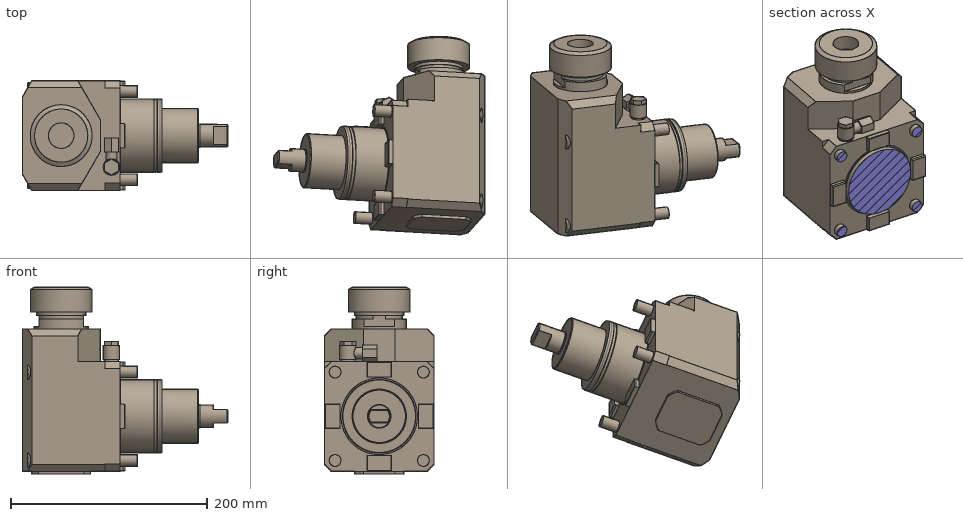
import cadquery as cq
import math


HOUSING_LENGTH = 99.5
HALF_WIDTH = 56.0
HOUSING_TOP = 89.0
EDGE_CHAMFER = 7.0
SLANT_SLOPE = math.tan(math.radians(60))
BACK_FACE_HALF_WIDTH = 39.5
FRONT_FACE_X = -20.0
FRONT_FACE_HALF_WIDTH = 16.0
FLANGE_THICKNESS = 15.3
FLANGE_CHAMFER = 7.5

SPINDLE_X = -60.0
SPINDLE_COLLAR_RADIUS = 27.6
SPINDLE_COLLAR_TOP = 99.0
SPINDLE_NECK_RADIUS = 23.7
SPINDLE_FLAT_BOTTOM = 91.4
SPINDLE_FLAT_DISTANCE = 22.8
NUT_RIM_BOTTOM = 102.8
NUT_RIM_RADIUS = 25.1
NUT_BOTTOM = 106.0
NUT_TOP = 131.66
NUT_RADIUS = 31.5
NUT_CHAMFER_WIDTH = 4.4
NUT_CHAMFER_HEIGHT = 2.5
BORE_RADIUS = 13.0
BORE_DEPTH = 15.0

COVER_HEIGHT = 3.0
COVER_RADIUS = 34.0
COVER_LENGTH = 60.0
COVER_WIDTH = 50.0

SHOULDER_RADIUS = 39.0
SHOULDER_HEIGHT = 0.6
PILOT_RADIUS = 37.4
PILOT_END = 42.9
PILOT_CHAMFER_LENGTH = 2.2
PILOT_CHAMFER_DEPTH = 0.4
NECK_RADIUS = 27.7
NECK_END = 80.0
NECK_CHAMFER = 1.0
SHAFT_COLLAR_RADIUS = 12.0
SHAFT_COLLAR_LENGTH = 1.2
SHAFT_RADIUS = 11.6
SHAFT_END = 110.0
SHAFT_CHAMFER = 1.2
TANG_START = 95.0
TANG_THICKNESS = 14.0
SEAL_GROOVE_START = 34.5
SEAL_GROOVE_WIDTH = 3.4
SEAL_GROOVE_DEPTH = 2.0
SEAL_RING_RADIUS = 1.6

KEY_WIDTH = 25.0
KEY_HEIGHT = 5.0
KEY_OUTER_REACH = 55.5
KEY_INNER_REACH = 40.0
KEY_CHAMFER_HEIGHT = 1.8
KEY_CHAMFER_INSET = 0.7
KEY_END_CHAMFER = 0.5

SCREW_OFFSET = 45.0
SCREW_RADIUS = 6.0
SCREW_PROJECTION = 17.6
SCREW_HEAD_RADIUS = 9.0
SCREW_HEAD_HEIGHT = 12.0
SCREW_HEAD_X = -94.3
SCREW_HEAD_FILLET = 1.4
SCREW_SOCKET_RADIUS = 5.0
SCREW_SOCKET_DEPTH = 6.0

ELBOW_X = -8.8
ELBOW_Y = -32.0
ELBOW_FOOT_RADIUS = 7.4
ELBOW_FOOT_HEIGHT = 1.6
ELBOW_BODY_RADIUS = 8.4
ELBOW_BODY_TOP = 72.0
ELBOW_CAP_TOP = 76.3
ELBOW_HEX_WIDTH = 14.2
BRANCH_Z = 64.2
BRANCH_RADIUS = 5.65
BRANCH_NUT_START = -16.9
BRANCH_NUT_LENGTH = 14.5


def cylinder_x(x_start, x_end, radius, y=0.0, z=0.0):
    """Cylinder parallel to X."""
    axis_start = cq.Vector(x_start, y, z)
    solid = cq.Solid.makeCylinder(radius, x_end - x_start, axis_start, cq.Vector(1, 0, 0))
    return cq.Workplane(solid)


def cylinder_z(z_start, z_end, radius, x, y):
    """Cylinder parallel to Z."""
    return cq.Workplane("XY", origin=(x, y, z_start)).circle(radius).extrude(z_end - z_start)


def hex_points(across_flats):
    """Hexagon corners, two of them on the second axis of the sketch plane."""
    corner_radius = across_flats / math.sqrt(3)
    angles = [math.pi / 6 + i * math.pi / 3 for i in range(6)]
    return [(corner_radius * math.cos(a), corner_radius * math.sin(a)) for a in angles]


def housing_prism(corners, top):
    """Upright prism from the housing bottom, its outline mirrored about Y = 0."""
    mirrored = [(x, -y) for x, y in reversed(corners)]
    sketch = cq.Workplane("XY", origin=(0, 0, -HALF_WIDTH)).polyline(corners + mirrored).close()
    return sketch.extrude(top + HALF_WIDTH)


def bevelled_envelope(x_start, x_end, top, chamfer, edges):
    """Full-width block from the housing bottom with the chosen lengthwise edges chamfered."""
    length = x_end - x_start
    height = top + HALF_WIDTH
    block = cq.Workplane("XY").box(length, 2 * HALF_WIDTH, height, centered=(False, True, False))
    return block.translate((x_start, 0, -HALF_WIDTH)).edges(edges).chamfer(chamfer)


def housing():
    """Bevelled gear box: a tall block with slanted corners on a lower block with a flange."""
    front_slant_length = (HALF_WIDTH - FRONT_FACE_HALF_WIDTH) / SLANT_SLOPE
    back_slant_length = (HALF_WIDTH - BACK_FACE_HALF_WIDTH) / SLANT_SLOPE
    front_slant_x = FRONT_FACE_X - front_slant_length
    back_slant_x = -HOUSING_LENGTH + back_slant_length

    back = [(-HOUSING_LENGTH, BACK_FACE_HALF_WIDTH), (back_slant_x, HALF_WIDTH)]
    tall_front = [(front_slant_x, HALF_WIDTH), (FRONT_FACE_X, FRONT_FACE_HALF_WIDTH)]
    low_front = [(0, HALF_WIDTH)]
    tall_block = housing_prism(back + tall_front, HOUSING_TOP)
    low_block = housing_prism(back + low_front, HALF_WIDTH)

    tall_envelope = bevelled_envelope(-HOUSING_LENGTH, FRONT_FACE_X, HOUSING_TOP, EDGE_CHAMFER, "|X")
    low_envelope = bevelled_envelope(
        -HOUSING_LENGTH, -FLANGE_THICKNESS, HALF_WIDTH, EDGE_CHAMFER, "|X and <Z"
    )
    flange_envelope = bevelled_envelope(-FLANGE_THICKNESS, 0, HALF_WIDTH, FLANGE_CHAMFER, "|X")
    low_envelope = low_envelope.union(flange_envelope)
    return tall_block.intersect(tall_envelope).union(low_block.intersect(low_envelope))


def spindle():
    """Spindle collar and neck with two wrench flats, below a chamfered clamping nut."""
    collar = cylinder_z(HOUSING_TOP, SPINDLE_COLLAR_TOP, SPINDLE_COLLAR_RADIUS, SPINDLE_X, 0)
    neck = cylinder_z(SPINDLE_COLLAR_TOP, NUT_RIM_BOTTOM, SPINDLE_NECK_RADIUS, SPINDLE_X, 0)
    shaft = collar.union(neck)
    flat_height = NUT_RIM_BOTTOM - SPINDLE_FLAT_BOTTOM
    flat_depth = SPINDLE_COLLAR_RADIUS - SPINDLE_FLAT_DISTANCE
    for side in (-1, 1):
        flat = cq.Workplane("XY").box(
            flat_depth, 2 * SPINDLE_COLLAR_RADIUS, flat_height, centered=(True, True, False)
        )
        flat_x = SPINDLE_X + side * (SPINDLE_FLAT_DISTANCE + flat_depth / 2)
        shaft = shaft.cut(flat.translate((flat_x, 0, SPINDLE_FLAT_BOTTOM)))

    rim = cylinder_z(NUT_RIM_BOTTOM, NUT_BOTTOM, NUT_RIM_RADIUS, SPINDLE_X, 0)
    nut = cylinder_z(NUT_BOTTOM, NUT_TOP, NUT_RADIUS, SPINDLE_X, 0)
    nut = nut.faces(">Z").chamfer(NUT_CHAMFER_HEIGHT, NUT_CHAMFER_WIDTH)
    bore = cylinder_z(NUT_TOP - BORE_DEPTH, NUT_TOP, BORE_RADIUS, SPINDLE_X, 0)
    return shaft.union(rim).union(nut.cut(bore))


def bottom_cover():
    """Round cover trimmed by four flats."""
    disc = cylinder_z(-HALF_WIDTH - COVER_HEIGHT, -HALF_WIDTH, COVER_RADIUS, SPINDLE_X, 0)
    trim = cq.Workplane("XY").box(COVER_LENGTH, COVER_WIDTH, 2 * (HALF_WIDTH + COVER_HEIGHT))
    return disc.intersect(trim.translate((SPINDLE_X, 0, 0)))


def drive_shank():
    """Shoulder, pilot with seal ring, neck and tanged shaft along +X."""
    pilot = cylinder_x(0, PILOT_END, PILOT_RADIUS)
    pilot = pilot.faces(">X").chamfer(PILOT_CHAMFER_LENGTH, PILOT_CHAMFER_DEPTH)
    groove_end = SEAL_GROOVE_START + SEAL_GROOVE_WIDTH
    groove_floor = PILOT_RADIUS - SEAL_GROOVE_DEPTH
    groove = cylinder_x(SEAL_GROOVE_START, groove_end, PILOT_RADIUS)
    groove = groove.cut(cylinder_x(SEAL_GROOVE_START, groove_end, groove_floor))
    seal_x = SEAL_GROOVE_START + SEAL_RING_RADIUS
    seal_y = PILOT_RADIUS - SEAL_RING_RADIUS
    seal_section = cq.Workplane("XY").moveTo(seal_x, seal_y).circle(SEAL_RING_RADIUS)
    seal_ring = seal_section.revolve(360, (0, 0), (1, 0))
    pilot = pilot.cut(groove).union(seal_ring)

    shoulder = cylinder_x(0, SHOULDER_HEIGHT, SHOULDER_RADIUS)
    neck = cylinder_x(PILOT_END, NECK_END, NECK_RADIUS).faces(">X").chamfer(NECK_CHAMFER)
    shaft_collar = cylinder_x(NECK_END, NECK_END + SHAFT_COLLAR_LENGTH, SHAFT_COLLAR_RADIUS)
    round_shaft = cylinder_x(NECK_END, TANG_START, SHAFT_RADIUS)
    tang_end = cylinder_x(TANG_START, SHAFT_END, SHAFT_RADIUS)
    tang_length = SHAFT_END - TANG_START
    tang_slab = cq.Workplane("XY").box(tang_length, 2 * SHAFT_RADIUS, TANG_THICKNESS)
    tang_slab = tang_slab.translate((TANG_START + tang_length / 2, 0, 0))
    tang = tang_end.intersect(tang_slab).faces(">X").chamfer(SHAFT_CHAMFER)
    shaft = shaft_collar.union(round_shaft).union(tang)
    return shoulder.union(pilot).union(neck).union(shaft)


def driving_keys():
    """Four bevelled keys set crosswise around the pilot, outside its shoulder."""
    half_width = KEY_WIDTH / 2
    half_outline = [
        (0, half_width),
        (KEY_HEIGHT - KEY_CHAMFER_HEIGHT, half_width),
        (KEY_HEIGHT, half_width - KEY_CHAMFER_INSET),
    ]
    outline = half_outline + [(x, -y) for x, y in reversed(half_outline)]
    key = cq.Workplane("XY", origin=(0, 0, KEY_INNER_REACH)).polyline(outline).close()
    key = key.extrude(KEY_OUTER_REACH - KEY_INNER_REACH)
    key = key.faces(">X").edges(">Z").chamfer(KEY_END_CHAMFER)
    keys = cq.Workplane("XY")
    for quarter in range(4):
        keys = keys.add(key.rotate((0, 0, 0), (1, 0, 0), 90 * quarter))
    return keys.combine()


def clamping_screw(y, z):
    """Screw through the housing: socket head in the slanted corner, shank out of the flange."""
    head_end = SCREW_HEAD_X + SCREW_HEAD_HEIGHT
    head = cylinder_x(SCREW_HEAD_X, head_end, SCREW_HEAD_RADIUS, y, z)
    head = head.faces("<X").edges().fillet(SCREW_HEAD_FILLET)
    socket_end = SCREW_HEAD_X + SCREW_SOCKET_DEPTH
    socket = cylinder_x(SCREW_HEAD_X, socket_end, SCREW_SOCKET_RADIUS, y, z)
    shank = cylinder_x(head_end, SCREW_PROJECTION, SCREW_RADIUS, y, z)
    return head.cut(socket).union(shank)


def coolant_elbow():
    """Upright fitting with a hexagon cap and a level branch that ends in a hexagon nut."""
    foot_top = HALF_WIDTH + ELBOW_FOOT_HEIGHT
    foot = cylinder_z(HALF_WIDTH, foot_top, ELBOW_FOOT_RADIUS, ELBOW_X, ELBOW_Y)
    body = cylinder_z(foot_top, ELBOW_BODY_TOP, ELBOW_BODY_RADIUS, ELBOW_X, ELBOW_Y)
    hexagon = hex_points(ELBOW_HEX_WIDTH)
    cap = cq.Workplane("XY", origin=(ELBOW_X, ELBOW_Y, ELBOW_BODY_TOP)).polyline(hexagon).close()
    cap = cap.extrude(ELBOW_CAP_TOP - ELBOW_BODY_TOP)

    branch = cq.Workplane("XZ", origin=(ELBOW_X, ELBOW_Y, BRANCH_Z)).circle(BRANCH_RADIUS)
    branch = branch.extrude(ELBOW_Y - BRANCH_NUT_START)
    nut = cq.Workplane("XZ", origin=(ELBOW_X, BRANCH_NUT_START, BRANCH_Z)).polyline(hexagon).close()
    nut = nut.extrude(-BRANCH_NUT_LENGTH)
    return foot.union(body).union(cap).union(branch).union(nut)


result = housing().union(spindle()).union(bottom_cover()).union(drive_shank()).union(driving_keys())
for screw_y in (-SCREW_OFFSET, SCREW_OFFSET):
    for screw_z in (-SCREW_OFFSET, SCREW_OFFSET):
        result = result.union(clamping_screw(screw_y, screw_z))
result = result.union(coolant_elbow())